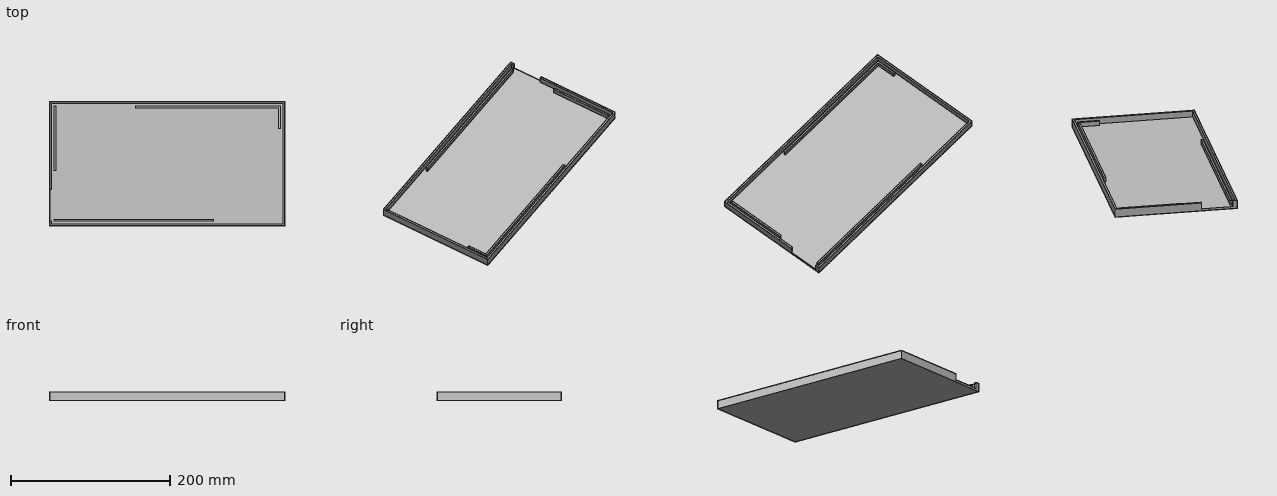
import cadquery as cq

length = 295.5
width = 156.0
height = 11.0

floor_thickness = 3.0
wall_thickness = 2.5

rib_gap = 3.3
rib_thickness = 2.5
rib_height = 6.0
left_rib_length = 81.0
front_rib_length = 199.8
back_rib_length = 182.0
right_rib_length = 27.8

opening_length = 40.0

rib_inset = wall_thickness + rib_gap
rib_left = -length / 2 + rib_inset
rib_right = length / 2 - rib_inset
rib_front = -width / 2 + rib_inset
rib_back = width / 2 - rib_inset


def box_between(x_min, x_max, y_min, y_max, z_min, z_max):
    """Box given by its limits along each axis."""
    size = (x_max - x_min, y_max - y_min, z_max - z_min)
    return cq.Workplane("XY").box(*size, centered=False).translate((x_min, y_min, z_min))


def make_tray():
    """Open tray with a flat floor and a thin wall all round."""
    body = cq.Workplane("XY").box(length, width, height, centered=(True, True, False))
    cavity = (
        cq.Workplane("XY")
        .workplane(offset=floor_thickness)
        .rect(length - 2 * wall_thickness, width - 2 * wall_thickness)
        .extrude(height - floor_thickness)
    )
    return body.cut(cavity)


def make_opening():
    """Cutter for the left wall, starting level with the front rib."""
    return box_between(
        -length / 2, -length / 2 + wall_thickness,
        rib_front, rib_front + opening_length,
        floor_thickness, height,
    )


def make_rib(x_min, x_max, y_min, y_max):
    """Rib rooted at the underside of the tray so that it merges with the floor."""
    return box_between(x_min, x_max, y_min, y_max, 0, floor_thickness + rib_height)


ribs = [
    make_rib(rib_left, rib_left + rib_thickness, rib_back - left_rib_length, rib_back),
    make_rib(rib_left, rib_left + front_rib_length, rib_front, rib_front + rib_thickness),
    make_rib(rib_right - back_rib_length, rib_right, rib_back - rib_thickness, rib_back),
    make_rib(rib_right - rib_thickness, rib_right, rib_back - right_rib_length, rib_back),
]

result = make_tray().cut(make_opening())
for rib in ribs:
    result = result.union(rib)